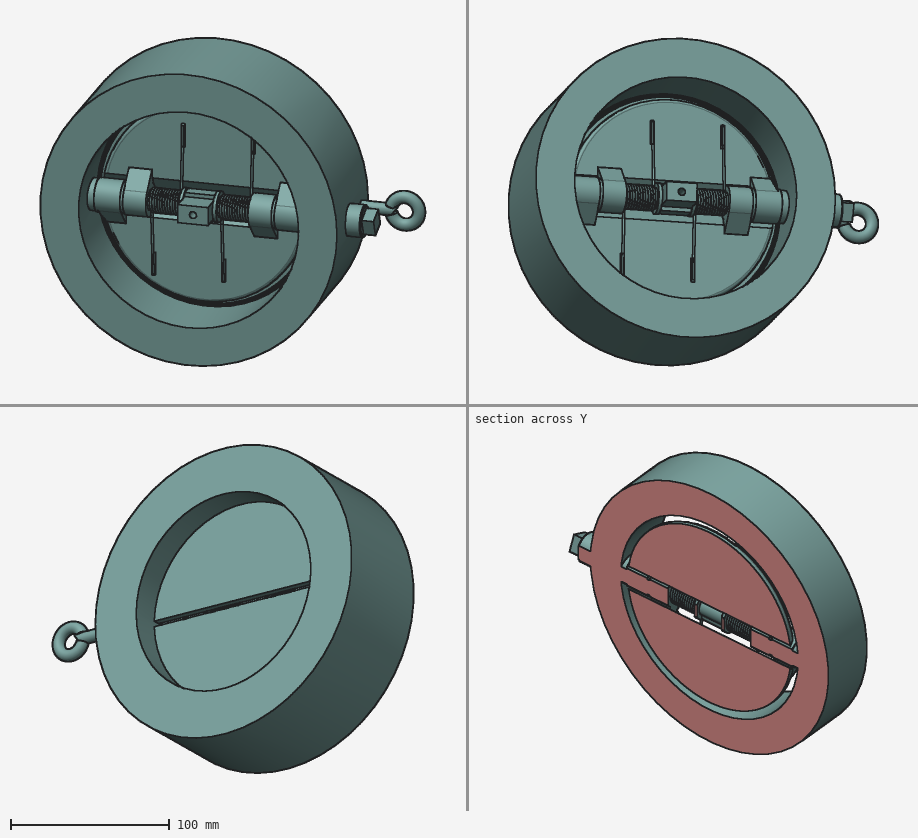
import cadquery as cq
import math


OVERALL_LENGTH = 236.9

BODY_DIA = 195.0
BODY_LENGTH = 70.0
BORE_DIA = 144.5
BORE_DEPTH = 42.6
SEAT_STEP_DIA = 142.5
SEAT_STEP_FRONT = 41.7
SEAT_DIA = 132.6

PLATE_FRONT = 33.5
PLATE_BACK = 49.7
PLATE_DIA = 133.5
PLATE_EDGE_RADIUS = 2.1
SEAL_FRONT = 40.3
SEAL_DIA = 139.3
SEAL_CHAMFER = 1.0
GROOVE_HALF_WIDTH = 13.3
PLATE_GAP = 3.8

SHAFT_Y = 29.4
SHAFT_DIA = 13.5
JOURNAL_DIA = 20.8
STUB_END_X = 107.3
STUB_CHAMFER = 0.7
SQUARE_SIDE = 11.8
SQUARE_LENGTH = 7.8
SQUARE_TILT = 22.5

KNUCKLE_DIA = 22.0
INNER_KNUCKLE_LENGTH = 15.2
INNER_KNUCKLE_X = 33.6
OUTER_KNUCKLE_X = 50.7
OUTER_KNUCKLE_LENGTH = 17.0
KNUCKLE_FOOT = 19
KNUCKLE_TRIM_DIA = 132.6

BLOCK_WIDTH = 20.0
BLOCK_HEIGHT = 17.5
BLOCK_FRONT = 25.0
LUG_HEIGHT = 12.0
LUG_FRONT = 9.7
LUG_HOLE_DIA = 4.5
COLLAR_DIA = 20.0
COLLAR_THICKNESS = 2.4

WIRE_DIA = 1.5
COIL_RADIUS = 7.3
COIL_TURNS = 11.5
UPPER_LEG_X = 32.7
LOWER_LEG_X = 13.3
LEG_LENGTH = 50.7
FOOT_LENGTH = 14.2
FOOT_DIA = 2.5

EYE_Y = 55.0
EYE_WIRE_DIA = 8.0
EYE_RING_RADIUS = 9.2
EYE_CENTRE_X = OVERALL_LENGTH - BODY_DIA / 2 - EYE_RING_RADIUS - EYE_WIRE_DIA / 2
EYE_GAP_ANGLE = 32
EYE_SHANK_END_X = 119.9
EYE_SHANK_END_TILT = 35

BODY_RADIUS = BODY_DIA / 2
BORE_RADIUS = BORE_DIA / 2
EMBED = 2.4


def disc(diameter, y_start, y_end):
    """Cylinder along Y, centred on the flow axis."""
    return cq.Workplane("XZ", origin=(0, y_start, 0)).circle(diameter / 2).extrude(y_start - y_end)


def rod(diameter, x_start, x_end, y=SHAFT_Y):
    """Cylinder along X at height Z = 0."""
    return cq.Workplane("YZ", origin=(x_start, y, 0)).circle(diameter / 2).extrude(x_end - x_start)


def block(width, height, y_start, y_end):
    """Box centred on X and Z, spanning the given Y range."""
    return cq.Workplane("XZ", origin=(0, y_start, 0)).rect(width, height).extrude(y_start - y_end)


def half_turn(piece):
    """The same piece turned half a turn about the flow axis."""
    return piece.rotate((0, 0, 0), (0, 1, 0), 180)


def make_body():
    ring = disc(BODY_DIA, 0, BODY_LENGTH)
    bore = disc(BORE_DIA, 0, SEAT_STEP_FRONT)
    seat_step = disc(SEAT_STEP_DIA, SEAT_STEP_FRONT, BORE_DEPTH)
    outlet = disc(SEAT_DIA, BORE_DEPTH, BODY_LENGTH)
    return ring.cut(bore).cut(seat_step).cut(outlet)


def make_plates():
    """Both closed plates, with 45 degree bevels behind the shaft and a gap between them."""
    face = disc(PLATE_DIA, PLATE_FRONT, PLATE_BACK).faces("<Y").edges().fillet(PLATE_EDGE_RADIUS)
    seal = disc(SEAL_DIA + 2 * SEAL_CHAMFER, SEAL_FRONT, PLATE_BACK)
    seal = seal.faces("<Y").edges().chamfer(SEAL_CHAMFER)
    bevel_end = PLATE_FRONT + GROOVE_HALF_WIDTH - PLATE_GAP / 2
    groove = (
        cq.Workplane("YZ", origin=(-BORE_RADIUS, 0, 0))
        .polyline([
            (PLATE_FRONT, GROOVE_HALF_WIDTH),
            (bevel_end, PLATE_GAP / 2),
            (PLATE_BACK, PLATE_GAP / 2),
            (PLATE_BACK, -PLATE_GAP / 2),
            (bevel_end, -PLATE_GAP / 2),
            (PLATE_FRONT, -GROOVE_HALF_WIDTH),
        ])
        .close()
        .extrude(BORE_DIA)
    )
    return face.union(seal).cut(groove)


def make_shaft():
    shaft = rod(SHAFT_DIA, -OUTER_KNUCKLE_X, OUTER_KNUCKLE_X)
    blind_end = rod(JOURNAL_DIA, -BORE_RADIUS - EMBED, -INNER_KNUCKLE_X)
    stub = rod(JOURNAL_DIA, INNER_KNUCKLE_X, STUB_END_X).faces(">X").chamfer(STUB_CHAMFER)
    square = (
        cq.Workplane("YZ", origin=(STUB_END_X, SHAFT_Y, 0))
        .transformed(rotate=(0, 0, SQUARE_TILT))
        .rect(SQUARE_SIDE, SQUARE_SIDE)
        .extrude(SQUARE_LENGTH)
    )
    return shaft.union(blind_end).union(stub).union(square)


def make_knuckle(x_start, length, side):
    """Hinge eye whose foot leaves at 45 degrees; side is +1 for an upper foot, -1 for a lower one."""
    tangent = KNUCKLE_DIA / 2 * math.sqrt(0.5)
    slope_end = SHAFT_Y - tangent + KNUCKLE_FOOT - tangent
    foot = (
        cq.Workplane("YZ", origin=(x_start, 0, 0))
        .polyline([
            (SHAFT_Y - tangent, side * tangent),
            (slope_end, side * KNUCKLE_FOOT),
            (PLATE_FRONT + EMBED, side * KNUCKLE_FOOT),
            (PLATE_FRONT + EMBED, side * tangent),
            (SHAFT_Y, 0),
        ])
        .close()
        .extrude(length)
    )
    rim = disc(KNUCKLE_TRIM_DIA, 0, PLATE_BACK)
    return rod(KNUCKLE_DIA, x_start, x_start + length).union(foot.intersect(rim))


def make_hinges():
    inner = make_knuckle(INNER_KNUCKLE_X, INNER_KNUCKLE_LENGTH, -1)
    outer = make_knuckle(OUTER_KNUCKLE_X, OUTER_KNUCKLE_LENGTH, 1)
    right = inner.union(outer)
    return right.union(half_turn(right))


def make_centre_block():
    centre = block(BLOCK_WIDTH, BLOCK_HEIGHT, BLOCK_FRONT, PLATE_FRONT)
    centre = centre.union(block(BLOCK_WIDTH, LUG_HEIGHT, LUG_FRONT, SHAFT_Y))
    collar = rod(COLLAR_DIA, BLOCK_WIDTH / 2, BLOCK_WIDTH / 2 + COLLAR_THICKNESS)
    hole = disc(LUG_HOLE_DIA, LUG_FRONT, SHAFT_Y - SHAFT_DIA / 2)
    return centre.cut(hole).union(collar).union(half_turn(collar))


def make_leg(x, side):
    """Straight spring leg from the coil to the plate, ending in a bent-back foot."""
    start = cq.Vector(x, SHAFT_Y, side * COIL_RADIUS)
    tip = cq.Vector(x, PLATE_FRONT - WIRE_DIA / 2, side * LEG_LENGTH)
    span = tip - start
    leg = cq.Workplane(cq.Solid.makeCylinder(WIRE_DIA / 2, span.Length, start, span))
    foot_start = cq.Vector(x, PLATE_FRONT, side * (LEG_LENGTH - FOOT_LENGTH))
    foot = cq.Solid.makeCylinder(FOOT_DIA / 2, FOOT_LENGTH, foot_start, cq.Vector(0, 0, side))
    toe = cq.Workplane("XY").sphere(FOOT_DIA / 2).translate((x, PLATE_FRONT, side * LEG_LENGTH))
    return leg.union(cq.Workplane(foot)).union(toe)


def make_spring():
    """Coil around the shaft on the +X side, with one leg on each plate."""
    coil_length = UPPER_LEG_X - LOWER_LEG_X
    path = cq.Wire.makeHelix(coil_length / COIL_TURNS, coil_length, COIL_RADIUS)
    coil = (
        cq.Workplane("XZ", origin=(COIL_RADIUS, 0, 0))
        .circle(WIRE_DIA / 2)
        .sweep(cq.Workplane(path), isFrenet=True)
        .rotate((0, 0, 0), (0, 1, 0), 90)
        .translate((LOWER_LEG_X, SHAFT_Y, 0))
    )
    return coil.union(make_leg(UPPER_LEG_X, 1)).union(make_leg(LOWER_LEG_X, -1))


def make_eye_bolt():
    shank_start = BODY_RADIUS - EMBED
    end_slant = EYE_WIRE_DIA / 2 * math.tan(math.radians(EYE_SHANK_END_TILT))
    shank_outline = (
        cq.Workplane("XZ", origin=(0, EYE_Y + EYE_WIRE_DIA / 2, 0))
        .polyline([
            (shank_start, EYE_WIRE_DIA / 2),
            (EYE_SHANK_END_X + end_slant, EYE_WIRE_DIA / 2),
            (EYE_SHANK_END_X - end_slant, -EYE_WIRE_DIA / 2),
            (shank_start, -EYE_WIRE_DIA / 2),
        ])
        .close()
        .extrude(EYE_WIRE_DIA)
    )
    shank = rod(EYE_WIRE_DIA, shank_start, EYE_CENTRE_X, EYE_Y).intersect(shank_outline)
    ring = (
        cq.Workplane("XY")
        .center(EYE_RING_RADIUS, 0)
        .circle(EYE_WIRE_DIA / 2)
        .revolve(360 - EYE_GAP_ANGLE, (-EYE_RING_RADIUS, 0, 0), (-EYE_RING_RADIUS, 1, 0))
        .rotate((0, 0, 0), (0, 1, 0), 180 + EYE_GAP_ANGLE / 2)
        .translate((EYE_CENTRE_X, EYE_Y, 0))
    )
    return shank.union(ring)


spring = make_spring()

result = (
    make_body()
    .union(make_shaft())
    .union(make_plates())
    .union(make_hinges())
    .union(make_centre_block())
    .union(make_eye_bolt())
    .union(spring)
    .union(half_turn(spring))
)